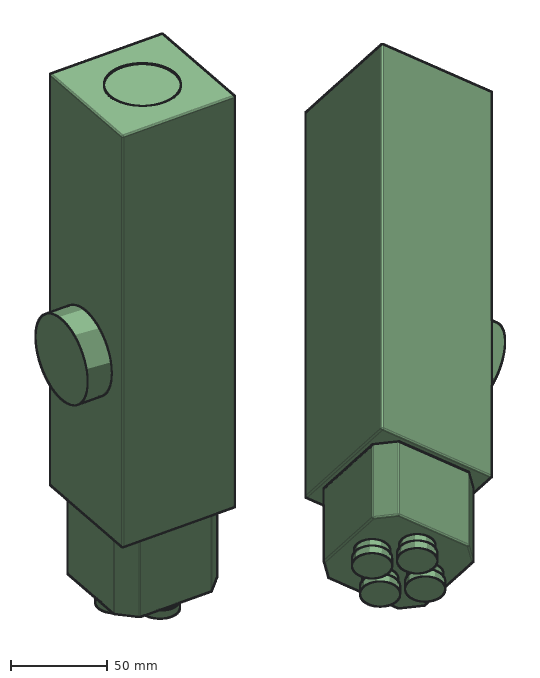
import cadquery as cq

total_height = 317.2
column_width = 70.0
column_bottom = 60.0
column_edge_radius = 1.0

button_diameter = 50.0
button_length = 15.0
button_height = 163.7

recess_diameter = 40.0
recess_depth = 0.5

base_width = 64.0
base_bottom = 10.0
base_corner_cut = 9.8
base_edge_radius = 1.0

foot_count = 4
foot_circle_radius = 16.8
foot_diameter = 21.0
foot_neck_diameter = 19.0
foot_height = 5.0


def make_column():
    """Square column with small rounds on all its edges."""
    height = total_height - column_bottom
    outline = cq.Workplane("XY").workplane(offset=column_bottom).rect(column_width, column_width)
    column = outline.extrude(height)
    return column.edges().fillet(column_edge_radius)


def make_recess():
    """Cutter for the round recess in the top of the column."""
    floor = total_height - recess_depth
    return cq.Workplane("XY").workplane(offset=floor).circle(recess_diameter / 2).extrude(recess_depth)


def make_button():
    """Round button, from the middle of the column out past its -Y face."""
    reach = column_width / 2 + button_length
    return cq.Workplane("XZ").center(0, button_height).circle(button_diameter / 2).extrude(reach)


def make_base():
    """Base block with cut corners and small rounds on all its edges."""
    height = column_bottom - base_bottom
    outline = cq.Workplane("XY").workplane(offset=base_bottom).rect(base_width, base_width)
    base = outline.extrude(height).edges("|Z").chamfer(base_corner_cut)
    return base.edges().fillet(base_edge_radius)


def make_feet():
    """Feet on a circle under the base, each a wide disc below a narrower neck."""
    positions = cq.Workplane("XY").polarArray(foot_circle_radius, 0, 360, foot_count)
    discs = positions.circle(foot_diameter / 2).extrude(foot_height)
    necks = positions.circle(foot_neck_diameter / 2).extrude(base_bottom)
    return discs.union(necks)


result = make_column().cut(make_recess()).union(make_button()).union(make_base()).union(make_feet())